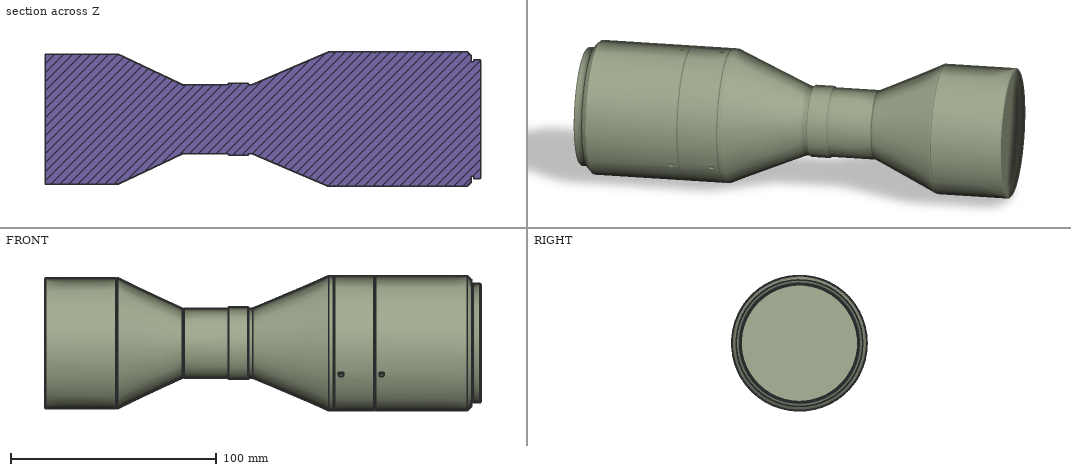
import cadquery as cq

HEAD_END = 35.1
FRONT_CONE_END = 67.5
COLLAR_START = 89.4
COLLAR_END = 99.4
REAR_CONE_START = 101.3
REAR_CONE_END = 138.5
FIRST_BODY_SEAM = 141.0
SECOND_BODY_SEAM = 160.9
BODY_END = 208.1
FLANGE_START = 209.0
TOTAL_LENGTH = 212.8

HEAD_RADIUS = 32.0
NECK_RADIUS = 17.0
COLLAR_RADIUS = 17.7
BODY_RADIUS = 33.0
RELIEF_RADIUS = 28.0
FLANGE_RADIUS = 29.2

EDGE_BREAK = 0.5
BODY_CHAMFER = 2.1
FLANGE_CHAMFER = 0.6

HOLE_RADIUS = 1.3
HOLE_DEPTH = 3.2
HOLES_PER_ROW = 3
FIRST_HOLE_ANGLE = 87.5
SEAM_TO_HOLE = 3.5
HOLE_ROWS = (FIRST_BODY_SEAM + SEAM_TO_HOLE, SECOND_BODY_SEAM + SEAM_TO_HOLE)


def seam_groove(station, radius):
    """Profile points of a V groove cut into the surface at a seam."""
    return [
        (station - EDGE_BREAK, radius),
        (station, radius - EDGE_BREAK),
        (station + EDGE_BREAK, radius),
    ]


def make_turned_body():
    """Revolve the half profile, in axial and radial coordinates, about the X axis."""
    profile = [
        (0, 0),
        (0, HEAD_RADIUS - EDGE_BREAK),
        (EDGE_BREAK, HEAD_RADIUS),
        *seam_groove(HEAD_END, HEAD_RADIUS),
        *seam_groove(FRONT_CONE_END, NECK_RADIUS),
        (COLLAR_START, NECK_RADIUS),
        (COLLAR_START, COLLAR_RADIUS - EDGE_BREAK),
        (COLLAR_START + EDGE_BREAK, COLLAR_RADIUS),
        (COLLAR_END - EDGE_BREAK, COLLAR_RADIUS),
        (COLLAR_END, COLLAR_RADIUS - EDGE_BREAK),
        (COLLAR_END, NECK_RADIUS),
        (REAR_CONE_START, NECK_RADIUS),
        (REAR_CONE_END, BODY_RADIUS),
        *seam_groove(FIRST_BODY_SEAM, BODY_RADIUS),
        *seam_groove(SECOND_BODY_SEAM, BODY_RADIUS),
        (BODY_END - BODY_CHAMFER, BODY_RADIUS),
        (BODY_END, BODY_RADIUS - BODY_CHAMFER),
        (BODY_END, RELIEF_RADIUS),
        (FLANGE_START, RELIEF_RADIUS),
        (FLANGE_START, FLANGE_RADIUS),
        (TOTAL_LENGTH - FLANGE_CHAMFER, FLANGE_RADIUS),
        (TOTAL_LENGTH, FLANGE_RADIUS - FLANGE_CHAMFER),
        (TOTAL_LENGTH, 0),
    ]
    return cq.Workplane("XY").polyline(profile).close().revolve(360, (0, 0, 0), (1, 0, 0))


def make_hole_cutter(station, angle):
    """Radial pin, built on the +Y axis and turned about X to the given angle."""
    pin = cq.Solid.makeCylinder(
        HOLE_RADIUS,
        2 * HOLE_DEPTH,
        cq.Vector(station, BODY_RADIUS - HOLE_DEPTH, 0),
        cq.Vector(0, 1, 0),
    )
    return pin.rotate(cq.Vector(0, 0, 0), cq.Vector(1, 0, 0), angle)


result = make_turned_body()
for row_station in HOLE_ROWS:
    for index in range(HOLES_PER_ROW):
        hole_angle = FIRST_HOLE_ANGLE + index * 360 / HOLES_PER_ROW
        result = result.cut(make_hole_cutter(row_station, hole_angle))